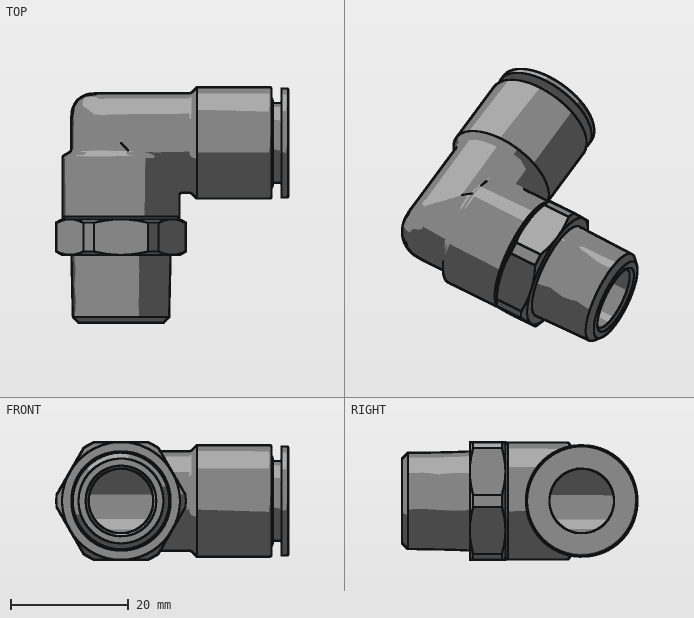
import cadquery as cq
import math

PIPE_R = 8.5
BORE_R = 5.5

SOCKET_R = 9.5
SOCKET_START = 11.9
SOCKET_END = 25.55
SOCKET_EDGE_R = 0.35
SOCKET_ROOT_R = 0.55
SHOULDER_R = 7.7
SHOULDER_TIP_R = 7.05
SHOULDER_END = 25.8
NECK_R = 6.8
NECK_BLEND_R = 0.25
FLANGE_R = 9.3
FLANGE_START = 27.25
FLANGE_EDGE_R = 0.3
BRANCH_END = 28.4

COLLAR_R = 9.95
COLLAR_START = 1.4
COLLAR_SLOPE_DEG = 60
COLLAR_BLEND_R = 0.55
SADDLE_BLEND_R = 0.3
COLLAR_TAPER_START = 12.5
COLLAR_END_R = 9.65
HEX_START = 12.95
HEX_END = 19.0
HEX_FLATS = 20.0
HEX_CORNER_R = 11.0
HEX_BEVEL_DEG = 30
STEM_END = 30.5
THREAD_BEVEL = 1.0
THREAD_R = 8.45
THREAD_END_R = 8.2
BORE_BEVEL = 0.5


def branch_cylinder(radius, start, end):
    return cq.Workplane("YZ", origin=(start, 0, 0)).circle(radius).extrude(end - start)


def stem_cylinder(radius, start, end):
    return cq.Workplane("XZ", origin=(0, -start, 0)).circle(radius).extrude(end - start)


def revolve_stem(profile):
    """Revolve (radius, distance) points about the stem axis."""
    points = [(radius, -distance) for radius, distance in profile]
    return cq.Workplane("XY").polyline(points).close().revolve(360, (0, 0, 0), (0, 1, 0))


def prism(points):
    """Full-height block over an XY outline, used to keep one region of a body."""
    return cq.Workplane("XY").polyline(points).close().extrude(2 * PIPE_R, both=True)


def make_elbow():
    """Two pipes joined by an ellipsoid that is tangent to both.

    In units of PIPE_R, an ellipsoid with diagonal semi-axes sqrt(1 + k) and
    sqrt(1 - k) touches the pipes at (-1, k) and (-k, 1); k = 0.5 is used here.
    """
    tangent_ratio = 0.5
    reach = 2 * PIPE_R
    offset = tangent_ratio * reach
    far = SOCKET_START + 0.4

    branch = branch_cylinder(PIPE_R, -PIPE_R, far).intersect(
        prism([(0, 0), (-offset, reach), (far, reach), (far, -reach), (0, -reach)]))
    stem = stem_cylinder(PIPE_R, -PIPE_R, HEX_START).intersect(
        prism([(0, 0), (-reach, offset), (-reach, -reach), (reach, -reach), (reach, 0)]))

    half_angle = math.degrees(math.asin(math.sqrt((1 - tangent_ratio) / 2)))
    half_disc = (cq.Workplane("XZ").moveTo(0, -PIPE_R)
                 .threePointArc((PIPE_R, 0), (0, PIPE_R)).close())
    lune = half_disc.revolve(2 * half_angle, (0, 0, 0), (0, 1, 0))
    center = lune.val().Center()
    center_angle = math.degrees(math.atan2(center.y, center.x))
    lune = lune.rotate((0, 0, 0), (0, 0, 1), -center_angle)
    long_scale = math.sqrt(1 + tangent_ratio)
    short_scale = math.sqrt(1 - tangent_ratio)
    stretch = cq.Matrix([[long_scale, 0, 0, 0], [0, short_scale, 0, 0], [0, 0, 1, 0]])
    corner = cq.Workplane(lune.val().transformGeometry(stretch)).rotate((0, 0, 0), (0, 0, 1), 135)
    return branch.union(stem).union(corner)


def circles_at_x(x):
    """Selector for the circular edges centred at one station along the branch."""
    reach = 2 * PIPE_R
    margin = 0.02
    return cq.selectors.BoxSelector((x - margin, -reach, -reach), (x + margin, reach, reach))


def make_branch_end():
    """Socket, shoulder, neck and release flange, with a stub of pipe behind the socket."""
    stub_length = 1.2
    bevel = SOCKET_R - PIPE_R
    profile = [
        (SOCKET_START - stub_length, 0),
        (SOCKET_START - stub_length, PIPE_R),
        (SOCKET_START, PIPE_R),
        (SOCKET_START + bevel, SOCKET_R),
        (SOCKET_END, SOCKET_R),
        (SOCKET_END, SHOULDER_R),
        (SHOULDER_END, SHOULDER_TIP_R),
        (SHOULDER_END, NECK_R),
        (FLANGE_START, NECK_R),
        (FLANGE_START, FLANGE_R),
        (BRANCH_END, FLANGE_R),
        (BRANCH_END, 0),
    ]
    body = cq.Workplane("XY").polyline(profile).close().revolve(360, (0, 0, 0), (1, 0, 0))
    smallest = cq.selectors.RadiusNthSelector(0)
    largest = cq.selectors.RadiusNthSelector(-1)
    body = body.edges(circles_at_x(SOCKET_START)).edges(largest).fillet(SOCKET_ROOT_R)
    body = body.edges(circles_at_x(SOCKET_END)).edges(largest).fillet(SOCKET_EDGE_R)
    body = body.edges(circles_at_x(FLANGE_START)).edges(smallest).fillet(NECK_BLEND_R)
    outer_rim = body.edges(circles_at_x(BRANCH_END)).edges(largest)
    return outer_rim.fillet(FLANGE_EDGE_R)


def make_collar():
    """Collar whose sloped top blends into the pipe above it."""
    slope_length = (COLLAR_R - PIPE_R) / math.tan(math.radians(COLLAR_SLOPE_DEG))
    slope_end = COLLAR_START + slope_length
    collar = revolve_stem([
        (0, 0),
        (PIPE_R, 0),
        (PIPE_R, COLLAR_START),
        (COLLAR_R, slope_end),
        (COLLAR_R, COLLAR_TAPER_START),
        (COLLAR_END_R, HEX_START),
        (0, HEX_START),
    ])
    slope_edges = cq.selectors.BoxSelector(
        (-COLLAR_R, -slope_end - 0.4, -COLLAR_R), (COLLAR_R, -COLLAR_START + 0.4, COLLAR_R),
        boundingbox=False)
    return collar.edges("%CIRCLE").edges(slope_edges).fillet(COLLAR_BLEND_R)


def make_elbow_with_collar():
    """Elbow and collar, with a small fillet where the collar side saddles the branch pipe."""
    joined = make_elbow().union(make_collar())
    saddle = cq.selectors.BoxSelector(
        (PIPE_R / 2, -PIPE_R, -PIPE_R), (COLLAR_R, -COLLAR_START, PIPE_R))
    return joined.edges(saddle).edges("not %CIRCLE").fillet(SADDLE_BLEND_R)


def make_hex():
    """Hexagon with rounded corners and a cone bevel on both faces."""
    face_r = HEX_FLATS / 2
    bevel = (HEX_CORNER_R - face_r) * math.tan(math.radians(HEX_BEVEL_DEG))
    corner_diameter = HEX_FLATS / math.cos(math.radians(30))
    hexagon = (cq.Workplane("XZ", origin=(0, -HEX_START, 0))
               .polygon(6, corner_diameter).extrude(HEX_END - HEX_START))
    envelope = revolve_stem([
        (0, HEX_START),
        (face_r, HEX_START),
        (HEX_CORNER_R, HEX_START + bevel),
        (HEX_CORNER_R, HEX_END - bevel),
        (face_r, HEX_END),
        (0, HEX_END),
    ])
    return hexagon.intersect(envelope)


def make_thread():
    return revolve_stem([
        (0, HEX_END),
        (THREAD_R, HEX_END),
        (THREAD_END_R, STEM_END - THREAD_BEVEL),
        (THREAD_END_R - THREAD_BEVEL, STEM_END),
        (0, STEM_END),
    ])


def make_bore():
    """Two equal bores meeting in a mitre, with a bevelled mouth on the stem."""
    branch = branch_cylinder(BORE_R, -BORE_R, BRANCH_END)
    stem = stem_cylinder(BORE_R, -BORE_R, STEM_END)
    corner = branch.intersect(stem)
    mouth = revolve_stem([
        (0, STEM_END - BORE_BEVEL),
        (BORE_R, STEM_END - BORE_BEVEL),
        (BORE_R + BORE_BEVEL, STEM_END),
        (0, STEM_END),
    ])
    straight_branch = branch_cylinder(BORE_R, 0, BRANCH_END)
    straight_stem = stem_cylinder(BORE_R, 0, STEM_END)
    return straight_branch.union(straight_stem).union(corner).union(mouth)


body = make_elbow_with_collar().union(make_branch_end())
body = body.union(make_hex()).union(make_thread())
result = body.cut(make_bore())